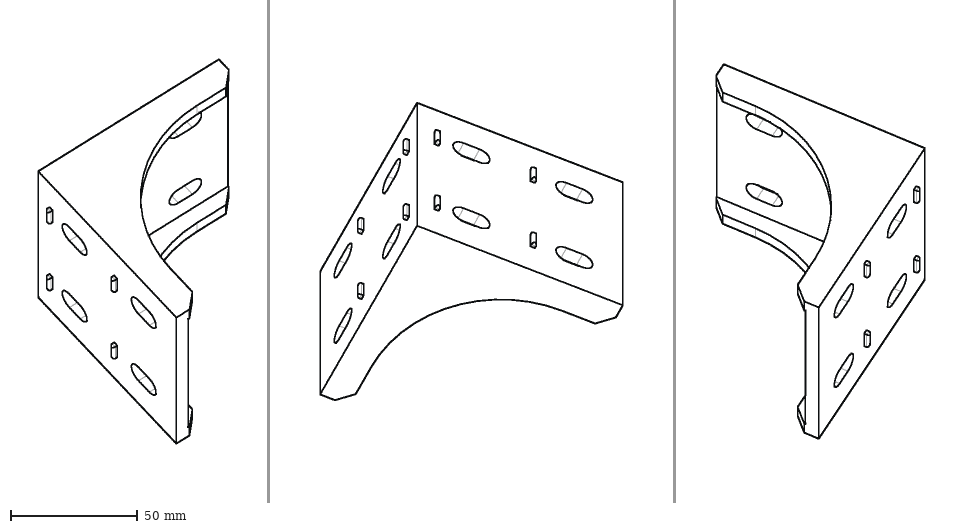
import cadquery as cq
import math

overall = 92.0
height = 85.0

rib_projection = 2.0
rib_width = 2.0
rib_length = 8.0
rib_round = rib_width / 2
rib_offsets = (8.5, 50.5)

leg = overall - rib_projection
gusset_band = 12.7
gusset_arc = 56.6
tip_chamfer = 6.2
wall = 6.0

slot_length = 16.0
slot_width = 9.0
slot_first = 23.7
slot_pitch = 45.0
slot_offsets = (slot_first, slot_first + slot_pitch)
row_heights = (height / 2 - slot_pitch / 2, height / 2 + slot_pitch / 2)


def mirror_to_second_wall(shape):
    """Swap X and Y, carrying a feature of the XZ wall over to the YZ wall."""
    return shape.mirror("XZ").rotate((0, 0, 0), (0, 0, 1), 90)


def gusset_block():
    """Solid of the full gusset outline, extruded over the bracket height."""
    arc_center = gusset_band + gusset_arc
    arc_middle = arc_center - gusset_arc * math.sqrt(0.5)
    return (
        cq.Workplane("XY")
        .moveTo(0, 0)
        .lineTo(leg, 0)
        .lineTo(leg, gusset_band - tip_chamfer)
        .lineTo(leg - tip_chamfer, gusset_band)
        .lineTo(arc_center, gusset_band)
        .threePointArc((arc_middle, arc_middle), (gusset_band, arc_center))
        .lineTo(gusset_band, leg - tip_chamfer)
        .lineTo(gusset_band - tip_chamfer, leg)
        .lineTo(0, leg)
        .close()
        .extrude(height)
    )


def inner_space():
    """Open space between the two walls and the two gusset plates."""
    return cq.Workplane("XY").box(leg, leg, height - 2 * wall, centered=False).translate((wall, wall, wall))


def wall_slots():
    """Horizontal slots through the XZ wall."""
    centers = [(x, z) for x in slot_offsets for z in row_heights]
    return (
        cq.Workplane("XZ")
        .pushPoints(centers)
        .slot2D(slot_length, slot_width)
        .extrude(-wall)
    )


def locating_rib():
    """Upright rib on the XZ wall: a box whose four outer rims are fully rounded, meeting in mitres."""
    straight = rib_projection - rib_round
    half_width = rib_width / 2
    half_length = rib_length / 2
    across = (
        cq.Workplane("XY")
        .moveTo(-half_width, 0)
        .lineTo(-half_width, -straight)
        .threePointArc((0, -rib_projection), (half_width, -straight))
        .lineTo(half_width, 0)
        .close()
        .extrude(half_length, both=True)
    )
    along = (
        cq.Workplane("XY")
        .box(rib_width, rib_projection, rib_length)
        .faces("<Y")
        .edges("|X")
        .fillet(rib_round)
        .translate((0, -rib_projection / 2, 0))
    )
    return across.intersect(along)


bracket = gusset_block().cut(inner_space())

slots = wall_slots()
bracket = bracket.cut(slots).cut(mirror_to_second_wall(slots))

for offset in rib_offsets:
    for row_height in row_heights:
        rib = locating_rib().translate((offset, 0, row_height))
        bracket = bracket.union(rib).union(mirror_to_second_wall(rib))

result = bracket